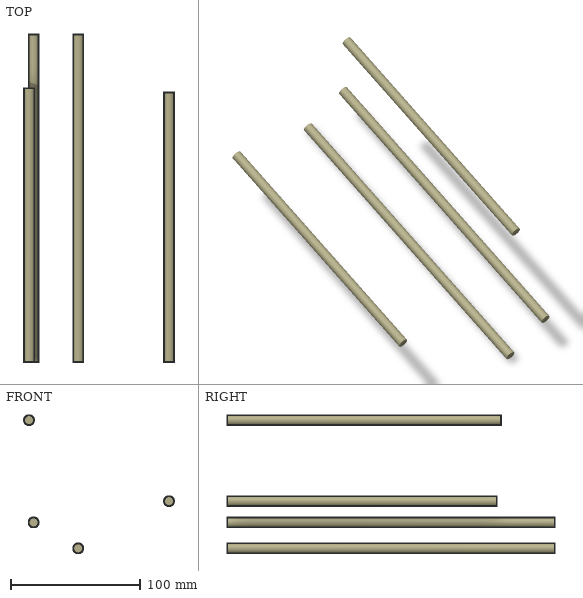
import cadquery as cq

ROD_DIAMETER = 8.0
LONG_LENGTH = 254.0
TOP_LENGTH = 212.3
SIDE_LENGTH = 209.0

TOP_X = -38.0
TOP_Z = 99.3
SIDE_X = 70.4
SIDE_Z = 36.5
LEFT_X = -34.5
LEFT_Z = 20.0

FRONT_Y = -LONG_LENGTH / 2


def make_rod(x, z, length):
    """Plain cylinder running from the front plane toward +Y."""
    front_center = cq.Vector(x, FRONT_Y, z)
    return cq.Solid.makeCylinder(ROD_DIAMETER / 2, length, front_center, cq.Vector(0, 1, 0))


rod_layout = [
    (0, 0, LONG_LENGTH),
    (LEFT_X, LEFT_Z, LONG_LENGTH),
    (SIDE_X, SIDE_Z, SIDE_LENGTH),
    (TOP_X, TOP_Z, TOP_LENGTH),
]
rods = [make_rod(x, z, length) for x, z, length in rod_layout]

result = cq.Compound.makeCompound(rods)